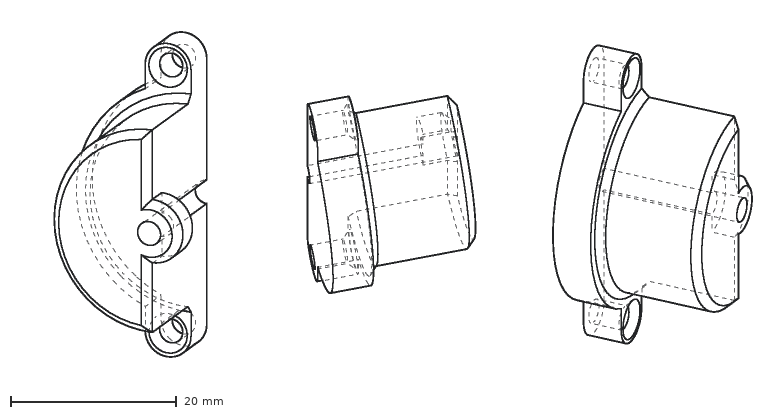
import cadquery as cq

total_depth = 18.25
total_height = 39.59

flange_radius = 15.0
flange_thickness = 5.0

body_radius = 12.8
base_bevel = 1.0
front_chamfer = 1.0

boss_radius = 4.0
boss_thickness = 4.0
bore_diameter = 3.0

ear_radius = 3.0
ear_x = -ear_radius
ear_z = total_height / 2 - ear_radius
screw_diameter = 3.0
countersink_diameter = 5.0
countersink_depth = 1.0


def plane_at(depth):
    """Plane facing -Y, at the given distance in front of the back face."""
    return cq.Workplane("XZ", origin=(0, -depth, 0))


def half_disc(radius, start, length):
    """Half cylinder on the -X side, running forward from the start depth."""
    return (
        plane_at(start)
        .moveTo(0, radius)
        .threePointArc((-radius, 0), (0, -radius))
        .close()
        .extrude(length)
    )


def make_body():
    """Half-round body with the pivot boss, chamfered all round the front face."""
    boss = plane_at(total_depth - boss_thickness).circle(boss_radius).extrude(boss_thickness)
    body = half_disc(body_radius, 0, total_depth).union(boss)
    return body.faces("<Y").chamfer(front_chamfer)


def make_base_bevel():
    """Conical half ring that joins the body to the flange."""
    profile = [
        (0, -flange_thickness),
        (-(body_radius + base_bevel), -flange_thickness),
        (-body_radius, -(flange_thickness + base_bevel)),
        (0, -(flange_thickness + base_bevel)),
    ]
    cone = cq.Workplane("XY").polyline(profile).close().revolve(360, (0, 0), (0, 1))
    return cone.intersect(half_disc(flange_radius, 0, total_depth))


def make_ear(side):
    """Round-ended ear, above (side = 1) or below (side = -1) the axis."""
    tip = plane_at(0).center(ear_x, side * ear_z).circle(ear_radius).extrude(flange_thickness)
    neck = (
        plane_at(0)
        .center(ear_x, side * ear_z / 2)
        .rect(2 * ear_radius, ear_z)
        .extrude(flange_thickness)
    )
    return tip.union(neck)


def make_screw_hole(side):
    """Cutter for a through hole with a countersink at the front of the ear."""
    hole = (
        plane_at(0)
        .center(ear_x, side * ear_z)
        .circle(screw_diameter / 2)
        .extrude(flange_thickness)
    )
    countersink = (
        plane_at(flange_thickness - countersink_depth)
        .center(ear_x, side * ear_z)
        .circle(screw_diameter / 2)
        .workplane(offset=countersink_depth)
        .circle(countersink_diameter / 2)
        .loft()
    )
    return hole.union(countersink)


result = half_disc(flange_radius, 0, flange_thickness)
result = result.union(make_body()).union(make_base_bevel())

for side in (1, -1):
    result = result.union(make_ear(side)).cut(make_screw_hole(side))

bore = plane_at(0).circle(bore_diameter / 2).extrude(total_depth)
result = result.cut(bore)